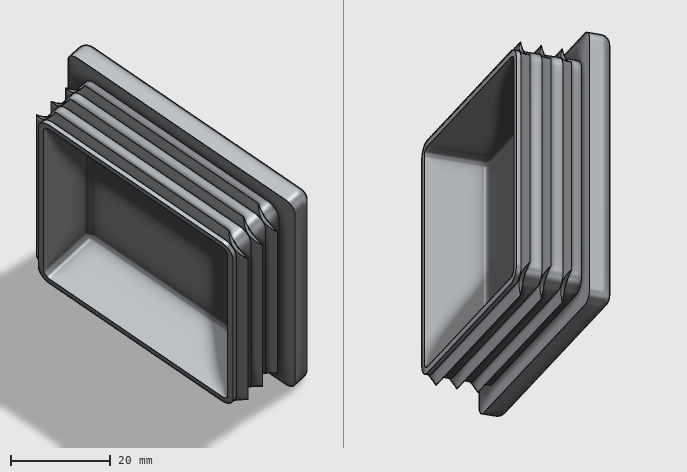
import cadquery as cq
import math

plate_side = 60.0
plate_thickness = 5.0
plate_corner_radius = 2.5
plate_edge_radius = 2.0

total_depth = 19.0
body_side = 51.4
body_corner_radius = 3.0
body_length = total_depth - plate_thickness

wall_thickness = 1.4
cavity_side = body_side - 2 * wall_thickness
cavity_corner_radius = body_corner_radius - wall_thickness
floor_fillet_radius = 1.15

fin_count = 3
fin_pitch = 4.5
fin_first_offset = 1.0
fin_root_thickness = 0.95
fin_height = 2.3
fin_slope_angle = math.degrees(math.atan2(fin_height, fin_root_thickness))

notch_radius = 8.4
notch_center = 30.85


def rounded_square(side, corner_radius, start, length, taper=0):
    """Rounded square bar along +Y, beginning at Y = start."""
    outline = cq.Sketch().rect(side, side).vertices().fillet(corner_radius)
    plane = cq.Workplane("XZ", origin=(0, start, 0))
    return plane.placeSketch(outline).extrude(-length, taper=taper)


def cover_plate():
    plate = rounded_square(plate_side, plate_corner_radius, body_length, plate_thickness)
    return plate.faces(">Y").edges().fillet(plate_edge_radius)


def body():
    return rounded_square(body_side, body_corner_radius, 0, body_length)


def cavity():
    pocket = rounded_square(cavity_side, cavity_corner_radius, 0, body_length)
    return pocket.faces(">Y").edges().fillet(floor_fillet_radius)


def fin(start):
    """Flared ring around the body, notched at its four corners."""
    flare = rounded_square(body_side, body_corner_radius, start, fin_root_thickness, -fin_slope_angle)
    notches = (
        cq.Workplane("XZ", origin=(0, start, 0))
        .rect(2 * notch_center, 2 * notch_center, forConstruction=True)
        .vertices()
        .circle(notch_radius)
        .extrude(-fin_root_thickness)
    )
    return flare.cut(notches)


result = cover_plate().union(body())
for index in range(fin_count):
    result = result.union(fin(fin_first_offset + index * fin_pitch))
result = result.cut(cavity())